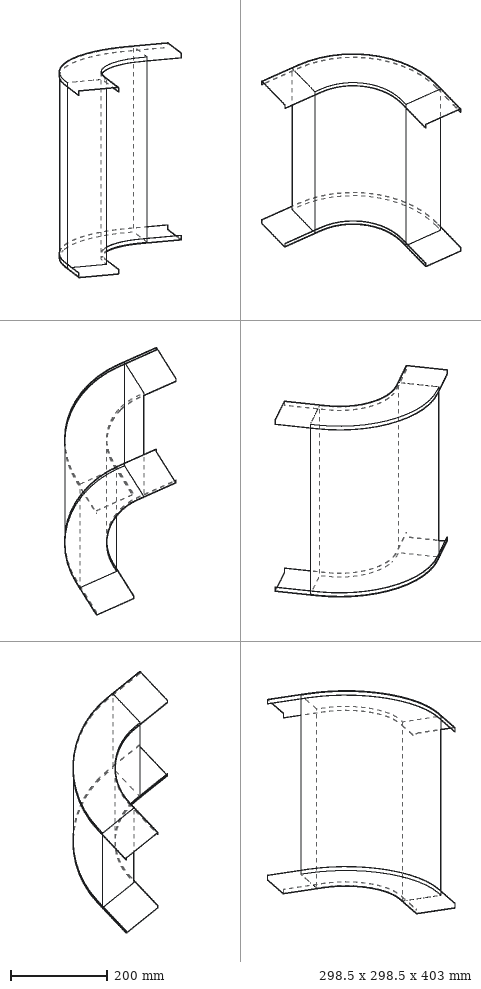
import cadquery as cq
import math

total_height = 403.0
overall_reach = 298.5
track_straight = 90.0
core_straight = 15.0
track_width = 88.3
flange_height = 10.5
sheet_thickness = 1.0
track_corner_radius = 2.0

outer_radius = overall_reach - track_straight
inner_radius = outer_radius - track_width
core_height = total_height - 2 * track_corner_radius
channel_corner_radius = track_corner_radius - sheet_thickness


def curved_strip(large_radius, small_radius, straight, height):
    """Quarter-bend strip standing on Z = 0, with a straight arm along +X and one along +Y."""
    diagonal = math.sqrt(0.5)
    large_middle = large_radius * diagonal
    small_middle = small_radius * diagonal
    return (
        cq.Workplane("XY")
        .moveTo(straight, -large_radius)
        .lineTo(0, -large_radius)
        .threePointArc((-large_middle, -large_middle), (-large_radius, 0))
        .lineTo(-large_radius, straight)
        .lineTo(-small_radius, straight)
        .lineTo(-small_radius, 0)
        .threePointArc((-small_middle, -small_middle), (0, -small_radius))
        .lineTo(straight, -small_radius)
        .close()
        .extrude(height)
    )


def long_edges(strip, face):
    """Select the edges of a face that follow the bend, without those across the arm ends."""
    return strip.faces(face).edges("not(>X or >Y)")


def make_bottom_track():
    """U-shaped sheet track with its web at the bottom and its flanges pointing up."""
    outside = curved_strip(outer_radius, inner_radius, track_straight, flange_height)
    outside = long_edges(outside, "<Z").fillet(track_corner_radius)
    channel = curved_strip(
        outer_radius - sheet_thickness,
        inner_radius + sheet_thickness,
        track_straight,
        flange_height - sheet_thickness,
    )
    channel = long_edges(channel, "<Z").fillet(channel_corner_radius)
    return outside.cut(channel.translate((0, 0, sheet_thickness)))


def make_core():
    """Curved wall that fits between the flanges and stops where the track corners begin to round."""
    core = curved_strip(
        outer_radius - sheet_thickness,
        inner_radius + sheet_thickness,
        core_straight,
        core_height,
    )
    return core.translate((0, 0, track_corner_radius))


bottom_track = make_bottom_track()
tracks = [
    bottom_track,
    bottom_track.mirror("XY").translate((0, 0, total_height)),
]
core = make_core()

result = cq.Compound.makeCompound([core.val(), *[track.val() for track in tracks]])